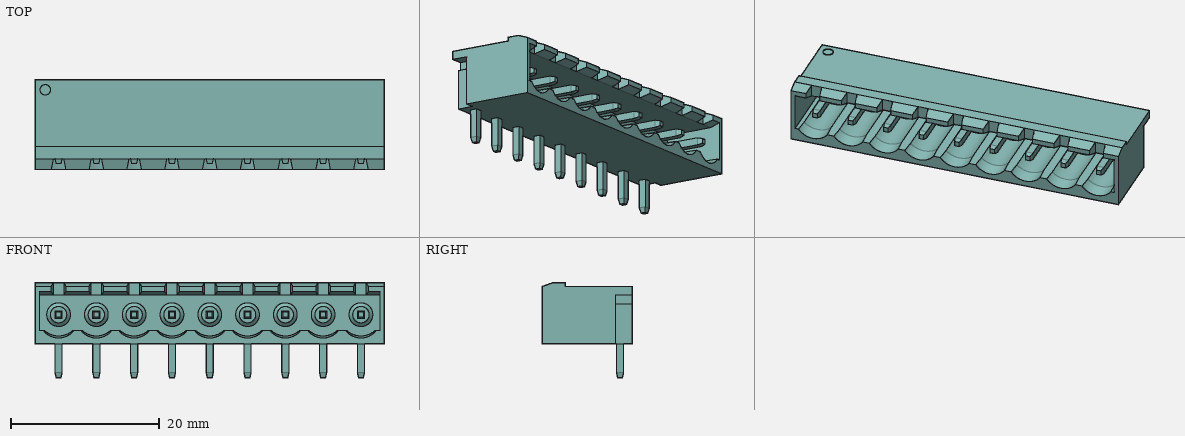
import cadquery as cq


length = 46.9
depth = 12.1
top_height = 7.75
lip_height = 8.25
lip_depth = 3.1
lip_bevel = 1.45

ways = 9
row_span = 40.65
pitch = row_span / (ways - 1)
pin_height = 3.95

end_wall = 0.6
cavity_depth = 8.45
floor_height = 1.85
ceiling_height = 6.55
mouth_ceiling_height = 7.05

scallop_radius = 2.85
scallop_mouth_radius = 2.6
scallop_mouth_center_height = 3.4
scallop_flare_depth = 1.9

notch_front_width = 1.95
notch_rear_width = 1.4

collar_base_diameter = 3.2
collar_top_diameter = 2.2
collar_height = 0.5

pin_width = 1.0
pin_tip_width = 0.65
pin_taper = 0.7
pin_tip_setback = 0.85
leg_rear_offset = 1.65
leg_length = 4.55

relief_depth = 2.25
relief_inset = 1.4
relief_height = 6.6
band_bottom = 5.4
band_inset = 1.9

mark_diameter = 1.4
mark_edge_offset = 1.35
mark_depth = 0.1

way_positions = [i * pitch - row_span / 2 for i in range(ways)]


def extrude_along_row(points, width):
    """Extrude a (Y, Z) outline symmetrically about X = 0."""
    return cq.Workplane("YZ").polyline(points).close().extrude(width / 2, both=True)


def facing_rear(x, y, z):
    """Workplane at a point, with its normal along +Y."""
    return cq.Workplane("XZ", origin=(x, y, z)).transformed(rotate=(180, 0, 0))


def make_shell():
    """Solid housing with a raised, bevelled lip along the top front edge."""
    return extrude_along_row(
        [
            (0, 0),
            (depth, 0),
            (depth, top_height),
            (lip_depth, top_height),
            (lip_depth, lip_height),
            (lip_bevel, lip_height),
            (0, top_height),
        ],
        length,
    )


def make_cavity():
    """Rectangular cavity whose ceiling rises towards the mouth."""
    return extrude_along_row(
        [
            (0, floor_height),
            (cavity_depth, floor_height),
            (cavity_depth, ceiling_height),
            (lip_bevel, ceiling_height),
            (0, mouth_ceiling_height),
        ],
        length - 2 * end_wall,
    )


def make_scallop(x):
    """Part of the round socket that lies below the cavity floor."""
    straight = facing_rear(x, 0, pin_height).circle(scallop_radius).extrude(cavity_depth)
    flare = (
        facing_rear(x, 0, scallop_mouth_center_height)
        .circle(scallop_mouth_radius)
        .workplane(offset=scallop_flare_depth)
        .center(0, scallop_mouth_center_height - pin_height)
        .circle(scallop_radius)
        .loft()
    )
    floor_plane = cq.Workplane("XY", origin=(x, cavity_depth / 2, 0))
    below_floor = floor_plane.rect(pitch, cavity_depth).extrude(floor_height)
    return straight.union(flare).intersect(below_floor)


def make_notch(x):
    """Keying notch, wider at the front, from the cavity ceiling up through the lip."""
    half_front = notch_front_width / 2
    half_rear = notch_rear_width / 2
    return (
        cq.Workplane("XY", origin=(x, 0, ceiling_height))
        .polyline([(-half_front, 0), (half_front, 0), (half_rear, lip_bevel), (-half_rear, lip_bevel)])
        .close()
        .extrude(lip_height - ceiling_height)
    )


def make_collar(x):
    """Cone frustum standing on the cavity's rear wall."""
    return (
        facing_rear(x, cavity_depth - collar_height, pin_height)
        .circle(collar_top_diameter / 2)
        .workplane(offset=collar_height)
        .circle(collar_base_diameter / 2)
        .loft()
    )


def make_pin(x):
    """L-shaped square pin with a tapered tip at both ends."""
    leg_y = depth - leg_rear_offset
    taper_end_y = pin_tip_setback + pin_taper
    taper_end_z = pin_taper - leg_length

    contact = (
        facing_rear(x, taper_end_y, pin_height)
        .rect(pin_width, pin_width)
        .extrude(leg_y + pin_width / 2 - taper_end_y)
    )
    contact_tip = (
        facing_rear(x, pin_tip_setback, pin_height)
        .rect(pin_tip_width, pin_tip_width)
        .workplane(offset=pin_taper)
        .rect(pin_width, pin_width)
        .loft()
    )
    leg = (
        cq.Workplane("XY", origin=(x, leg_y, taper_end_z))
        .rect(pin_width, pin_width)
        .extrude(pin_height - taper_end_z)
    )
    leg_tip = (
        cq.Workplane("XY", origin=(x, leg_y, -leg_length))
        .rect(pin_tip_width, pin_tip_width)
        .workplane(offset=pin_taper)
        .rect(pin_width, pin_width)
        .loft()
    )
    return contact.union(contact_tip).union(leg).union(leg_tip)


def make_corner_relief(side):
    """Rear corner relief at one end of the row; side is -1 or +1."""

    def block(inset, bottom):
        center = (side * (length - inset) / 2, depth - relief_depth / 2, (bottom + relief_height) / 2)
        return cq.Workplane("XY").box(inset, relief_depth, relief_height - bottom).translate(center)

    return block(relief_inset, 0).union(block(band_inset, band_bottom))


housing = make_shell().cut(make_cavity())
for way_x in way_positions:
    housing = housing.cut(make_scallop(way_x)).cut(make_notch(way_x))
for end in (-1, 1):
    housing = housing.cut(make_corner_relief(end))

mark_x = mark_edge_offset - length / 2
mark_y = depth - mark_edge_offset
mark_plane = cq.Workplane("XY", origin=(mark_x, mark_y, top_height - mark_depth))
housing = housing.cut(mark_plane.circle(mark_diameter / 2).extrude(mark_depth))

result = housing
for way_x in way_positions:
    result = result.union(make_collar(way_x)).union(make_pin(way_x))